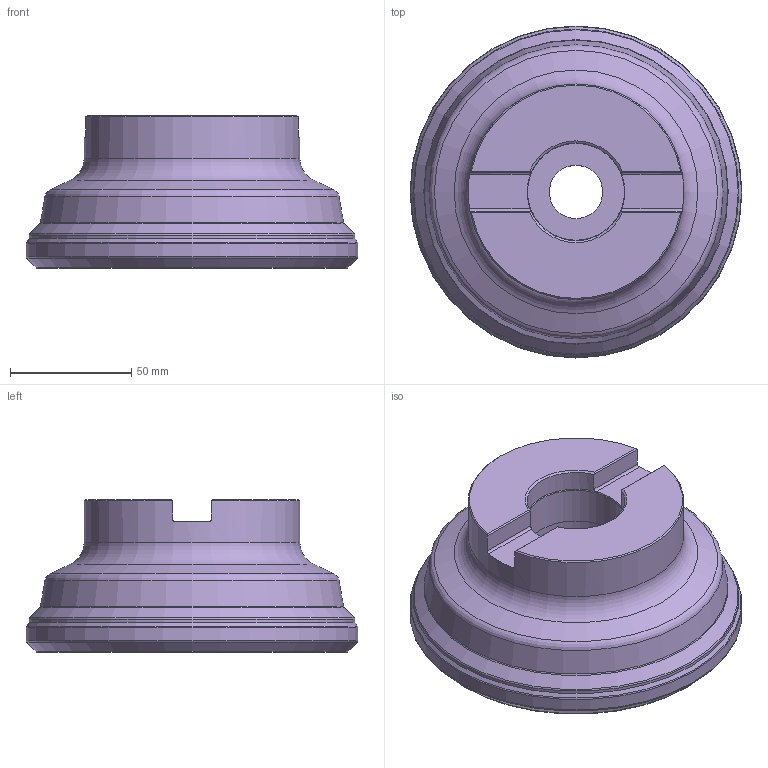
import cadquery as cq
import math

height = 63.0
edge_radius = 1.0

rim_radius = 68.5
foot_radius = 64.35
foot_height = 0.4
rim_top_z = 10.6

collar_radius = 67.25
collar_bottom_z = 12.4
collar_top_z = 14.05

skirt_base_radius = 62.6
skirt_taper = math.radians(10)
shoulder_slope = math.radians(25)
shoulder_radius = 4.0

boss_radius = 44.5
boss_root_z = 39.0
boss_blend_radius = 10.0
boss_edge_chamfer = 0.5

slot_width = 16.0
slot_depth = 9.0
slot_corner_radius = 1.0
slot_edge_chamfer = 0.5

bore_radius = 20.0
bore_mouth_radius = 21.0
bore_mouth_depth = 0.6
upper_bore_radius = 20.15
bore_step_height = 0.5
bore_guide_depth = 25.0
relief_radius = 20.5
bore_depth = 30.0
hole_radius = 11.0


def unit_vector(start, end):
    """Direction from start to end, scaled to length one."""
    length = math.dist(start, end)
    return ((end[0] - start[0]) / length, (end[1] - start[1]) / length)


def shifted(point, direction, distance):
    """Point moved by a distance along a direction."""
    return (point[0] + direction[0] * distance, point[1] + direction[1] * distance)


def draw_rounded_corner(profile, before, corner, after, radius):
    """Extend the profile to a corner and around its tangent arc."""
    backward = unit_vector(corner, before)
    forward = unit_vector(corner, after)
    opening = math.acos(backward[0] * forward[0] + backward[1] * forward[1])
    tangent_length = radius / math.tan(opening / 2)
    arc_start = shifted(corner, backward, tangent_length)
    arc_end = shifted(corner, forward, tangent_length)
    chord_middle = ((arc_start[0] + arc_end[0]) / 2, (arc_start[1] + arc_end[1]) / 2)
    inward = unit_vector(corner, chord_middle)
    arc_middle = shifted(corner, inward, radius / math.sin(opening / 2) - radius)
    return profile.lineTo(*arc_start).threePointArc(arc_middle, arc_end)


def revolve_profile(corners):
    """Revolve a closed (radius, z, corner radius) outline about Z."""
    points = [(radius, z) for radius, z, _ in corners]
    profile = cq.Workplane("YZ").moveTo(*points[0])
    for i in range(1, len(corners)):
        corner_radius = corners[i][2]
        if corner_radius > 0:
            after = points[(i + 1) % len(points)]
            profile = draw_rounded_corner(profile, points[i - 1], points[i], after, corner_radius)
        else:
            profile = profile.lineTo(*points[i])
    return profile.close().revolve(360, (0, 0, 0), (0, 1, 0))


def make_body():
    """Solid outer shape, without the slot and the bore."""
    bevel_top_z = foot_height + rim_radius - foot_radius
    skirt_base_z = collar_top_z + collar_radius - skirt_base_radius

    shoulder_drop = (skirt_base_radius - boss_radius) * math.tan(shoulder_slope)
    slope_product = math.tan(skirt_taper) * math.tan(shoulder_slope)
    skirt_rise = (boss_root_z - shoulder_drop - skirt_base_z) / (1 - slope_product)
    skirt_top_radius = skirt_base_radius - skirt_rise * math.tan(skirt_taper)

    return revolve_profile(
        [
            (0, 0, 0),
            (foot_radius, 0, 0),
            (foot_radius, foot_height, 0),
            (rim_radius, bevel_top_z, edge_radius),
            (rim_radius, rim_top_z, edge_radius),
            (collar_radius, collar_bottom_z, 0),
            (collar_radius, collar_top_z, edge_radius),
            (skirt_base_radius, skirt_base_z, edge_radius),
            (skirt_top_radius, skirt_base_z + skirt_rise, shoulder_radius),
            (boss_radius, boss_root_z, boss_blend_radius),
            (boss_radius, height - boss_edge_chamfer, 0),
            (boss_radius - boss_edge_chamfer, height, 0),
            (0, height, 0),
        ]
    )


def make_slot():
    """Cutter for the drive slot: rounded floor corners and chamfered top edges."""
    half_width = slot_width / 2
    half_mouth = half_width + slot_edge_chamfer
    chamfer_z = height - slot_edge_chamfer
    length = 2 * rim_radius
    channel = (
        cq.Workplane("XY", origin=(0, 0, height - slot_depth))
        .rect(length, slot_width)
        .extrude(slot_depth, combine=False)
        .edges("|X and <Z")
        .fillet(slot_corner_radius)
    )
    mouth = (
        cq.Workplane("YZ")
        .moveTo(-half_width, chamfer_z)
        .lineTo(half_width, chamfer_z)
        .lineTo(half_mouth, height)
        .lineTo(-half_mouth, height)
        .close()
        .extrude(length / 2, both=True)
    )
    return channel.union(mouth)


def make_bore():
    """Cutter for the stepped bore and the through hole below it."""
    step_z = height - slot_depth
    guide_end_z = height - bore_guide_depth
    floor_z = height - bore_depth
    return revolve_profile(
        [
            (0, 0, 0),
            (hole_radius, 0, 0),
            (hole_radius, floor_z, 0),
            (relief_radius, floor_z, 0),
            (relief_radius, guide_end_z, 0),
            (bore_radius, guide_end_z, 0),
            (bore_radius, step_z - bore_step_height, 0),
            (upper_bore_radius, step_z, 0),
            (upper_bore_radius, height - bore_mouth_depth, 0),
            (bore_mouth_radius, height, 0),
            (0, height, 0),
        ]
    )


result = make_body().cut(make_slot()).cut(make_bore())